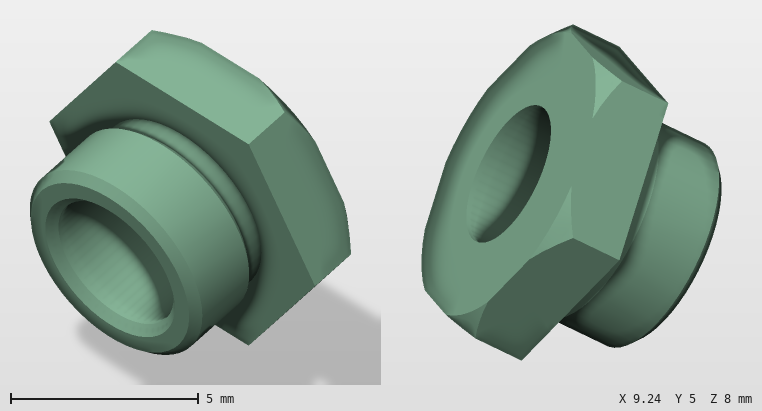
import cadquery as cq
import math

across_flats = 8.0
across_corners = across_flats / math.cos(math.radians(30))
head_thickness = 2.0
corner_chamfer = 0.5

shank_diameter = 6.0
shank_length = 3.0
shank_chamfer = 0.25
neck_length = 0.55
neck_depth = 0.25

bore_diameter = 4.0
bore_chamfer = 0.25


def revolve_about_y(profile):
    """Revolve (radius, y) points around the Y axis."""
    return cq.Workplane("XY").polyline(profile).close().revolve(360, (0, 0, 0), (0, 1, 0))


def make_head():
    """Hexagon with two corners on the X axis and its back corners turned off conically."""
    hexagon = cq.Workplane("XZ").polygon(6, across_corners).extrude(-head_thickness)
    corner_radius = across_corners / 2
    envelope = revolve_about_y([
        (0, 0),
        (corner_radius, 0),
        (corner_radius, head_thickness - corner_chamfer),
        (corner_radius - corner_chamfer, head_thickness),
        (0, head_thickness),
    ])
    return hexagon.intersect(envelope)


def make_shank():
    """Cylinder with a relief neck under the head and a chamfered free end."""
    shank_radius = shank_diameter / 2
    neck_radius = shank_radius - neck_depth
    return revolve_about_y([
        (0, 0),
        (neck_radius, 0),
        (neck_radius, -neck_length),
        (shank_radius, -neck_length - neck_depth),
        (shank_radius, -shank_length + shank_chamfer),
        (shank_radius - shank_chamfer, -shank_length),
        (0, -shank_length),
    ])


def make_bore():
    """Through hole with a chamfered mouth at the free end of the shank."""
    bore_radius = bore_diameter / 2
    return revolve_about_y([
        (0, head_thickness),
        (bore_radius, head_thickness),
        (bore_radius, -shank_length + bore_chamfer),
        (bore_radius + bore_chamfer, -shank_length),
        (0, -shank_length),
    ])


result = make_head().union(make_shank()).cut(make_bore())